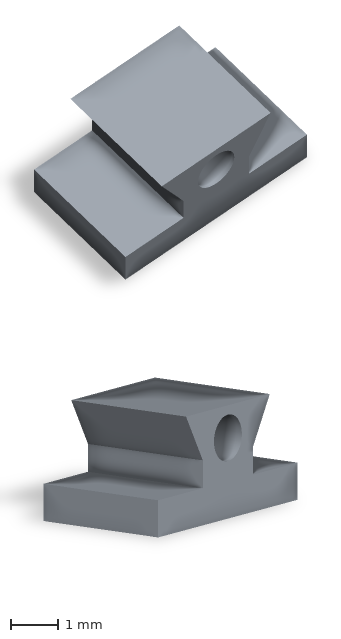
import cadquery as cq
import math

rail_length = 3.0
base_width = 5.0
base_height = 0.8
neck_width = 1.8
neck_height = 0.6
top_width = 3.0
flank_angle = 60.0
hole_diameter = 1.0
hole_cover = 0.2

overhang = (top_width - neck_width) / 2
dovetail_height = overhang * math.tan(math.radians(flank_angle))
neck_top = base_height + neck_height
total_height = neck_top + dovetail_height
hole_height = total_height - hole_cover - hole_diameter / 2


def make_body():
    """Extrude the symmetric base, neck and dovetail profile along X."""
    right_side = [
        (base_width / 2, 0),
        (base_width / 2, base_height),
        (neck_width / 2, base_height),
        (neck_width / 2, neck_top),
        (top_width / 2, total_height),
    ]
    left_side = [(-y, z) for y, z in reversed(right_side)]
    profile = cq.Workplane("YZ").polyline(right_side + left_side).close()
    return profile.extrude(rail_length / 2, both=True)


def make_hole():
    """Round bore running the full length of the dovetail."""
    circle = cq.Workplane("YZ").center(0, hole_height).circle(hole_diameter / 2)
    return circle.extrude(rail_length / 2, both=True)


result = make_body().cut(make_hole())